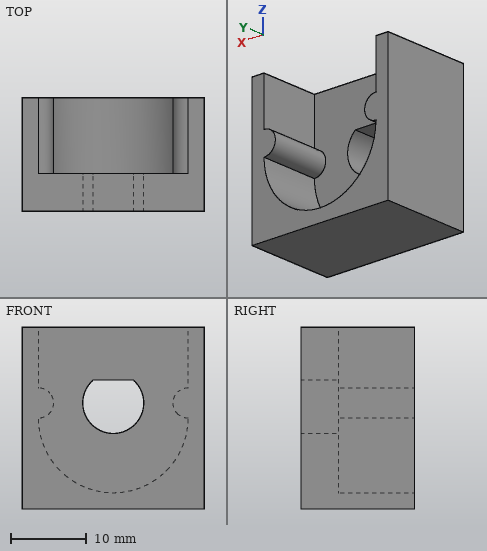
import cadquery as cq

width = 24.0
depth = 15.0
height = 24.0

front_wall = 5.0
pocket_radius = 9.86
pocket_length = depth - front_wall

rib_radius = 2.0
rib_height = 2.0

hole_radius = 4.0
hole_height = rib_height
flat_above_axis = 3.0


def cylinder_along_y(x, z, radius, start, length):
    """Cylinder parallel to Y, reaching back from Y = start."""
    section = cq.Workplane("XZ", origin=(x, start, z)).circle(radius)
    return section.extrude(-length)


def box_above(z, box_width, start, length, box_height):
    """Box centred on X, standing at height z and reaching back from Y = start."""
    box = cq.Workplane("XY").box(box_width, length, box_height, centered=(True, False, False))
    return box.translate((0, start, z))


def make_pocket():
    opening = box_above(0, 2 * pocket_radius, front_wall, pocket_length, height / 2)
    cylinder = cylinder_along_y(0, 0, pocket_radius, front_wall, pocket_length)
    return opening.union(cylinder)


def make_ribs():
    left_rib = cylinder_along_y(-pocket_radius, rib_height, rib_radius, front_wall, pocket_length)
    right_rib = cylinder_along_y(pocket_radius, rib_height, rib_radius, front_wall, pocket_length)
    return left_rib.union(right_rib)


def make_d_hole():
    round_hole = cylinder_along_y(0, hole_height, hole_radius, 0, front_wall)
    below_flat = box_above(
        hole_height - hole_radius, 2 * hole_radius, 0, front_wall, hole_radius + flat_above_axis
    )
    return round_hole.intersect(below_flat)


block = cq.Workplane("XY").box(width, depth, height, centered=(True, False, True))
result = block.cut(make_pocket().cut(make_ribs())).cut(make_d_hole())